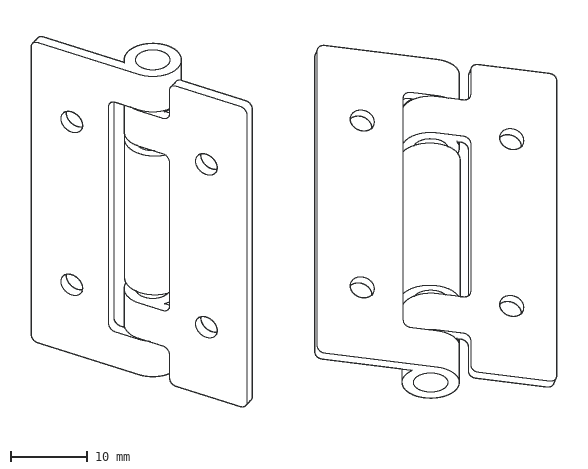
import cadquery as cq

LENGTH = 48.0
WIDTH = 32.0
HALF_LENGTH = LENGTH / 2
HALF_WIDTH = WIDTH / 2

PIN_RADIUS = 2.25
LEAF_THICKNESS = 1.5
KNUCKLE_RADIUS = PIN_RADIUS + LEAF_THICKNESS
LEAF_FACE_Y = -KNUCKLE_RADIUS

KNUCKLE_LENGTH = 5.65
KNUCKLE_GAP = 0.15
OUTER_KNUCKLE_Z = HALF_LENGTH - KNUCKLE_LENGTH
INNER_KNUCKLE_TOP = OUTER_KNUCKLE_Z - KNUCKLE_GAP
INNER_KNUCKLE_BOTTOM = INNER_KNUCKLE_TOP - KNUCKLE_LENGTH

EDGE_X = 4.5
CORNER_RADIUS = 1.0

HOLE_DIAMETER = 3.2
HOLE_X = 10.0
HOLE_Z = 13.0

OVERALL_DEPTH = 8.3
SLEEVE_RADIUS = 4.0
SLEEVE_LENGTH = 22.2
SLEEVE_CENTER_Y = LEAF_FACE_Y + OVERALL_DEPTH - SLEEVE_RADIUS


def cylinder(radius, z_start, z_end, center_y=0):
    """Upright cylinder centred on X = 0."""
    return cq.Workplane("XY", origin=(0, center_y, z_start)).circle(radius).extrude(z_end - z_start)


def plate(x_start, x_end, z_start, z_end):
    """Flat piece of leaf material covering a rectangle in X and Z."""
    return cq.Workplane("XY").box(
        x_end - x_start, LEAF_THICKNESS, z_end - z_start, centered=False
    ).translate((x_start, LEAF_FACE_Y, z_start))


def screw_holes(x):
    """Cutters for the two screw holes of one leaf."""
    return (
        cq.Workplane("XZ", origin=(0, LEAF_FACE_Y, 0))
        .pushPoints([(x, -HOLE_Z), (x, HOLE_Z)])
        .circle(HOLE_DIAMETER / 2)
        .extrude(-LEAF_THICKNESS)
    )


def add_knuckles(leaf, z_start, z_end):
    """Add a mirrored pair of knuckles and bore them for the pin."""
    for start, end in ((z_start, z_end), (-z_end, -z_start)):
        leaf = leaf.union(cylinder(KNUCKLE_RADIUS, start, end))
    return leaf.cut(cylinder(PIN_RADIUS, -HALF_LENGTH, HALF_LENGTH))


def make_outer_leaf():
    """Leaf on the -X side, with knuckles at both ends and a window between them."""
    leaf = plate(-HALF_WIDTH, 0, -HALF_LENGTH, HALF_LENGTH)
    leaf = leaf.edges("|Y and <X").fillet(CORNER_RADIUS)
    window = plate(-EDGE_X, KNUCKLE_RADIUS, -OUTER_KNUCKLE_Z, OUTER_KNUCKLE_Z)
    window = window.edges("|Y and <X").fillet(CORNER_RADIUS)
    leaf = leaf.cut(window).cut(screw_holes(-HOLE_X))
    return add_knuckles(leaf, OUTER_KNUCKLE_Z, HALF_LENGTH)


def make_inner_leaf():
    """Leaf on the +X side, with two tabs that roll into the inner knuckles."""
    leaf = plate(EDGE_X, HALF_WIDTH, -HALF_LENGTH, HALF_LENGTH).edges("|Y").fillet(CORNER_RADIUS)
    for z_start, z_end in (
        (INNER_KNUCKLE_BOTTOM, INNER_KNUCKLE_TOP),
        (-INNER_KNUCKLE_TOP, -INNER_KNUCKLE_BOTTOM),
    ):
        leaf = leaf.union(plate(0, EDGE_X, z_start, z_end))
    tab_roots = cq.selectors.BoxSelector(
        (EDGE_X - CORNER_RADIUS / 2, LEAF_FACE_Y, -OUTER_KNUCKLE_Z),
        (EDGE_X + CORNER_RADIUS / 2, LEAF_FACE_Y + LEAF_THICKNESS, OUTER_KNUCKLE_Z),
    )
    root_edges = leaf.edges("|Y").edges(tab_roots)
    leaf = root_edges.fillet(CORNER_RADIUS).cut(screw_holes(HOLE_X))
    return add_knuckles(leaf, INNER_KNUCKLE_BOTTOM, INNER_KNUCKLE_TOP)


def make_pin():
    """Plain pin, flush with both ends of the hinge."""
    return cylinder(PIN_RADIUS, -HALF_LENGTH, HALF_LENGTH)


def make_sleeve():
    """Spacer sleeve around the pin, its outside set off centre away from the leaf face."""
    half = SLEEVE_LENGTH / 2
    return cylinder(SLEEVE_RADIUS, -half, half, SLEEVE_CENTER_Y).cut(cylinder(PIN_RADIUS, -half, half))


outer_leaf = make_outer_leaf()
inner_leaf = make_inner_leaf()
pin = make_pin()
sleeve = make_sleeve()

bodies = [outer_leaf, inner_leaf, pin, sleeve]
result = cq.Compound.makeCompound([body.solids().val() for body in bodies])